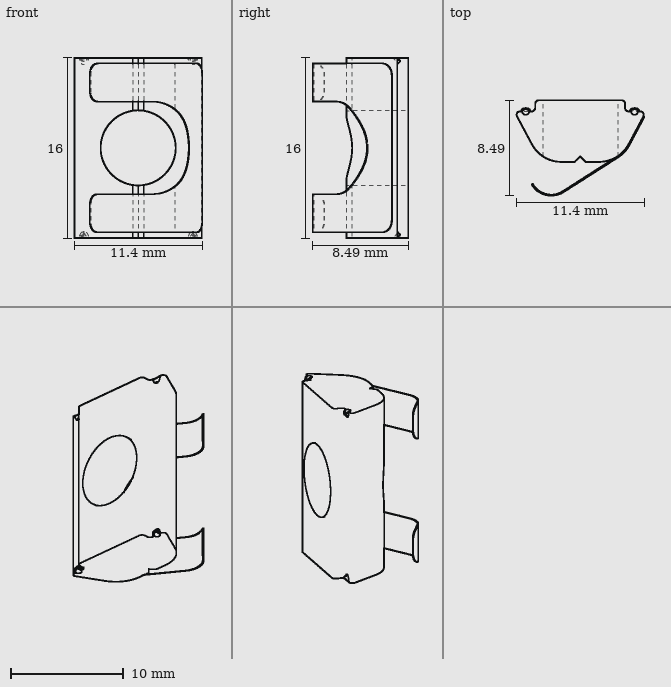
import cadquery as cq
import math


nut_length = 16.0
nut_half_width = 5.65
nut_depth = 5.5
back_half_width = 4.0
shoulder_depth = 1.0
back_corner_radius = 0.35
shoulder_inner_radius = 0.3
wing_corner_radius = 0.3
flank_angle = math.radians(28)
nose_radius = 3.0
notch_depth = 0.5
hole_diameter = 6.65

punch_spacing = 9.66
punch_rim_radius = 0.42
punch_rim_length = 0.84
punch_dimple_radius = 0.31
punch_dimple_depth = 0.5
punch_rim_tilt = math.radians(45)

spring_thickness = 0.1
spring_width = 15.0
spring_reach = 8.49
leg_angle = math.radians(32.5)
curl_radius = 1.9
curl_tip_angle = math.radians(60)
leg_corner_radius = 1.0
slot_radius = 4.1
slot_start_x = 1.38
slot_cut_reach = 10.0
tip_trim_height = 0.4


def on_arc(center, radius, angle):
    """Point on a circle, with the angle measured from -Y toward +X."""
    return (center[0] + radius * math.sin(angle), center[1] - radius * math.cos(angle))


flank_turn = math.pi / 2 - flank_angle
wing_center = (nut_half_width - wing_corner_radius, -shoulder_depth - wing_corner_radius)
nose_center_y = nose_radius - nut_depth
nose_center = (
    wing_center[0]
    + (
        (nose_center_y - wing_center[1]) * math.sin(flank_angle)
        + wing_corner_radius
        - nose_radius
    )
    / math.cos(flank_angle),
    nose_center_y,
)


def make_body():
    half = (
        cq.Workplane("XY", origin=(0, 0, -nut_length / 2))
        .moveTo(0, 0)
        .lineTo(back_half_width - back_corner_radius, 0)
        .radiusArc((back_half_width, -back_corner_radius), back_corner_radius)
        .lineTo(back_half_width, shoulder_inner_radius - shoulder_depth)
        .radiusArc((back_half_width + shoulder_inner_radius, -shoulder_depth), -shoulder_inner_radius)
        .lineTo(wing_center[0], -shoulder_depth)
        .threePointArc(
            on_arc(wing_center, wing_corner_radius, (math.pi + flank_turn) / 2),
            on_arc(wing_center, wing_corner_radius, flank_turn),
        )
        .lineTo(*on_arc(nose_center, nose_radius, flank_turn))
        .threePointArc(
            on_arc(nose_center, nose_radius, flank_turn / 2),
            on_arc(nose_center, nose_radius, 0),
        )
        .lineTo(notch_depth, -nut_depth)
        .lineTo(0, notch_depth - nut_depth)
        .close()
        .extrude(nut_length)
    )
    return half.union(half.mirror("YZ"))


def cut_hole(body):
    hole = cq.Workplane("XZ").circle(hole_diameter / 2).extrude(nut_depth)
    return body.cut(hole)


def add_punch_marks(body):
    """Tilted round rims with a conical dimple along Z, centred on the shoulder end edges."""
    end_limits = cq.Workplane("XY").box(2 * nut_half_width, 2 * nut_depth, nut_length)
    for side in (-1, 1):
        for end in (-1, 1):
            center = cq.Vector(side * punch_spacing / 2, -shoulder_depth, end * nut_length / 2)
            inward = cq.Vector(0, -math.sin(punch_rim_tilt), -end * math.cos(punch_rim_tilt))
            rim = cq.Solid.makeCylinder(punch_rim_radius, punch_rim_length, center, inward)
            dimple = cq.Solid.makeCone(
                punch_dimple_radius, 0, punch_dimple_depth, center, cq.Vector(0, 0, -end)
            )
            body = body.union(end_limits.intersect(cq.Workplane(rim))).cut(cq.Workplane(dimple))
    return body


def make_tip_trim(curl_center):
    """Material outside the rounded finger tips, cut square to the curl at its tip."""
    finger_width = spring_width / 2 - slot_radius
    tip = on_arc(curl_center, curl_radius + spring_thickness / 2, -curl_tip_angle)
    along = cq.Vector(math.cos(curl_tip_angle), -math.sin(curl_tip_angle), 0)
    outward = cq.Vector(-math.sin(curl_tip_angle), -math.cos(curl_tip_angle), 0)
    plane = cq.Plane((*tip, 0), along, outward)
    finger_center_z = slot_radius + finger_width / 2
    finger_length = 4 * leg_corner_radius
    block = (
        cq.Workplane(plane)
        .pushPoints([(0, -finger_center_z), (0, finger_center_z)])
        .rect(2 * leg_corner_radius, finger_width)
        .extrude(tip_trim_height, both=True)
    )
    rounded_finger = (
        cq.Workplane(plane)
        .pushPoints([(finger_length / 2, -finger_center_z), (finger_length / 2, finger_center_z)])
        .rect(finger_length, finger_width)
        .extrude(tip_trim_height, both=True)
        .edges(cq.selectors.ParallelDirSelector(outward))
        .fillet(leg_corner_radius)
    )
    return block.cut(rounded_finger)


def make_spring():
    leg_length = (
        spring_reach
        + nose_center[1]
        - (nose_radius - curl_radius) * math.cos(leg_angle)
        - curl_radius
        - spring_thickness
    ) / math.sin(leg_angle)
    leg_start = on_arc(nose_center, nose_radius, leg_angle)
    leg_end = (
        leg_start[0] - leg_length * math.cos(leg_angle),
        leg_start[1] - leg_length * math.sin(leg_angle),
    )
    curl_center = on_arc(leg_end, -curl_radius, leg_angle)
    curl_middle = (leg_angle - curl_tip_angle) / 2
    wrap_middle = (leg_angle + flank_turn) / 2
    nose_outer = nose_radius + spring_thickness
    curl_outer = curl_radius + spring_thickness
    flank_end = on_arc(wing_center, wing_corner_radius, flank_turn)
    strip = (
        cq.Workplane("XY", origin=(0, 0, -spring_width / 2))
        .moveTo(*flank_end)
        .lineTo(*on_arc(nose_center, nose_radius, flank_turn))
        .threePointArc(
            on_arc(nose_center, nose_radius, wrap_middle),
            on_arc(nose_center, nose_radius, leg_angle),
        )
        .lineTo(*leg_end)
        .threePointArc(
            on_arc(curl_center, curl_radius, curl_middle),
            on_arc(curl_center, curl_radius, -curl_tip_angle),
        )
        .lineTo(*on_arc(curl_center, curl_outer, -curl_tip_angle))
        .threePointArc(
            on_arc(curl_center, curl_outer, curl_middle),
            on_arc(curl_center, curl_outer, leg_angle),
        )
        .lineTo(*on_arc(nose_center, nose_outer, leg_angle))
        .threePointArc(
            on_arc(nose_center, nose_outer, wrap_middle),
            on_arc(nose_center, nose_outer, flank_turn),
        )
        .lineTo(*on_arc(wing_center, wing_corner_radius + spring_thickness, flank_turn))
        .close()
        .extrude(spring_width)
    )

    leg_along = cq.Vector(math.cos(leg_angle), math.sin(leg_angle), 0)
    leg_normal = cq.Vector(math.sin(leg_angle), -math.cos(leg_angle), 0)
    outer_start = on_arc(nose_center, nose_outer, leg_angle)
    slot_y = outer_start[1] - (outer_start[0] - slot_start_x) * math.tan(leg_angle)
    slot = (
        cq.Workplane(cq.Plane((slot_start_x, slot_y, 0), leg_along, leg_normal))
        .moveTo(0, slot_radius)
        .threePointArc((slot_radius, 0), (0, -slot_radius))
        .lineTo(-slot_cut_reach, -slot_radius)
        .lineTo(-slot_cut_reach, slot_radius)
        .close()
        .extrude(slot_cut_reach, both=True)
    )
    strip = strip.cut(slot)

    strip = strip.cut(make_tip_trim(curl_center))
    wing_end = on_arc(wing_center, wing_corner_radius + spring_thickness / 2, flank_turn)
    for end in (-1, 1):
        corner = cq.selectors.NearestToPointSelector((*wing_end, end * spring_width / 2))
        strip = strip.edges(corner).fillet(leg_corner_radius)
    return strip


body = add_punch_marks(cut_hole(make_body()))
result = body.union(make_spring())